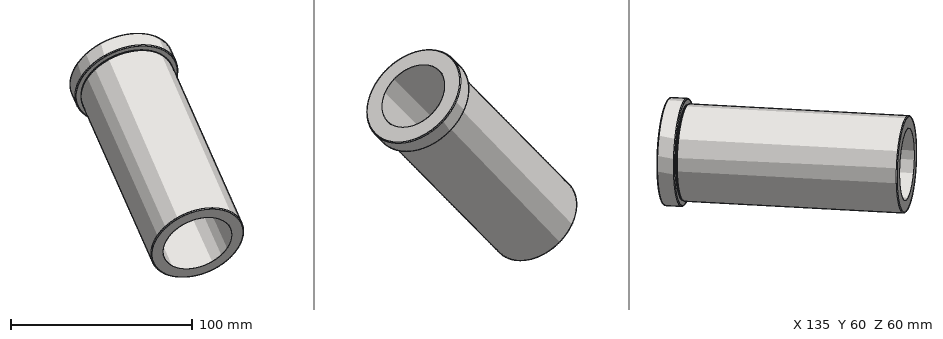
import cadquery as cq

length = 135.0
bore_diameter = 40.0
body_diameter = 54.0
flange_diameter = 60.0
flange_width = 10.0
edge_chamfer = 0.5

groove_depth = 0.4
groove_floor_width = 0.5
groove_slope_width = 0.5

bore_radius = bore_diameter / 2
body_radius = body_diameter / 2
flange_radius = flange_diameter / 2
groove_radius = body_radius - groove_depth
groove_slope_start = flange_width + groove_floor_width
groove_end = groove_slope_start + groove_slope_width

half_section = (
    cq.Workplane("XY")
    .moveTo(0, bore_radius)
    .lineTo(0, flange_radius - edge_chamfer)
    .lineTo(edge_chamfer, flange_radius)
    .lineTo(flange_width - edge_chamfer, flange_radius)
    .lineTo(flange_width, flange_radius - edge_chamfer)
    .lineTo(flange_width, groove_radius)
    .lineTo(groove_slope_start, groove_radius)
    .lineTo(groove_end, body_radius)
    .lineTo(length - edge_chamfer, body_radius)
    .lineTo(length, body_radius - edge_chamfer)
    .lineTo(length, bore_radius)
    .close()
)

result = half_section.revolve(360, (0, 0, 0), (1, 0, 0))